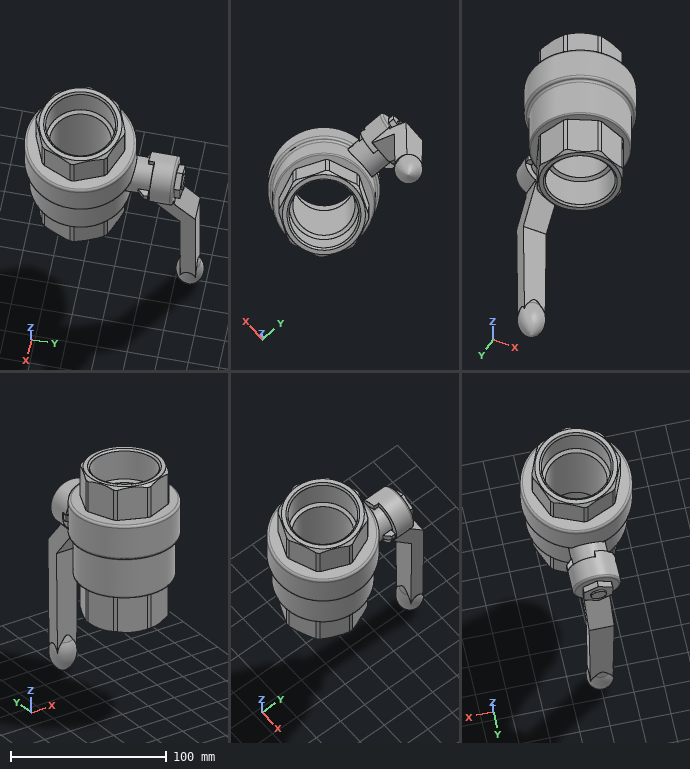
import cadquery as cq
import math


TOTAL_HEIGHT = 184.0

BODY_HEIGHT = 107.8
END_DIAMETER = 58.0
END_ACROSS_FLATS = 54.5
END_FACE_DIAMETER = 53.4
END_CHAMFER_HEIGHT = 1.8
FLANGE_DIAMETER = 72.5
FLANGE_BOTTOM = 58.7
FLANGE_TOP = 83.9
BARREL_DIAMETER = 66.0
BARREL_BOTTOM = 28.9
EDGE_RADIUS = 1.7
BARREL_EDGE_RADIUS = 1.0
SHOULDER_FILLET = 1.5

BORE_DIAMETER = 40.0
THREAD_DIAMETER = 44.9
THREAD_DEPTH = 21.9
SEAT_CONE_HEIGHT = 1.3
BORE_CHAMFER = 1.3

STEM_Z = 53.7
STEM_DIAMETER = 24.0
COLLAR_DIAMETER = 32.0
COLLAR_INNER_Y = 48.0
COLLAR_OUTER_Y = 63.0
COLLAR_EDGE_RADIUS = 1.5
SKIRT_DEPTH = 3.9
LUG_WIDTH = 4.6
LUG_OUTER_Y = 47.1
NUT_DIAMETER = 21.7
NUT_THICKNESS = 4.0
STUD_DIAMETER = 10.3
STUD_PROTRUSION = 1.1

LEVER_Y = 71.8
LEVER_THICKNESS = 10.1
LEVER_TOP_WIDTH = 17.3
LEVER_END_WIDTH = 14.9
LEVER_BEND_START = 37.5
OUTER_BEND_Z = 21.2
INNER_BEND_Z = 14.9

KNOB_RADIUS = 9.2
KNOB_TIP_DEPTH = 14.7
KNOB_Z = BODY_HEIGHT - TOTAL_HEIGHT + KNOB_TIP_DEPTH
KNOB_CONE_START = 9.4
KNOB_CONE_RADIUS = 6.6
KNOB_CONE_HEIGHT = 5.2
KNOB_CONE_TOP_RADIUS = 4.8


def cylinder_z(diameter, bottom, top):
    return cq.Workplane("XY").workplane(offset=bottom).circle(diameter / 2).extrude(top - bottom)


def along_stem(start_y):
    """Workplane on the stem axis whose normal points to +Y."""
    return cq.Workplane(cq.Plane(origin=(0, start_y, STEM_Z), xDir=(1, 0, 0), normal=(0, 1, 0)))


def octagonal_ends():
    corner_diameter = END_ACROSS_FLATS / math.cos(math.pi / 8)
    octagon = cq.Workplane("XY").polygon(8, corner_diameter).extrude(BODY_HEIGHT)
    face_inset = (END_DIAMETER - END_FACE_DIAMETER) / 2
    envelope = (
        cylinder_z(END_DIAMETER, 0, BODY_HEIGHT)
        .faces("<Z").chamfer(END_CHAMFER_HEIGHT, face_inset)
        .faces(">Z").chamfer(END_CHAMFER_HEIGHT, face_inset)
    )
    return octagon.intersect(envelope)


def body():
    flange = cylinder_z(FLANGE_DIAMETER, FLANGE_BOTTOM, FLANGE_TOP).edges().fillet(EDGE_RADIUS)
    barrel = (
        cylinder_z(BARREL_DIAMETER, BARREL_BOTTOM, FLANGE_BOTTOM)
        .faces("<Z").edges().fillet(BARREL_EDGE_RADIUS)
    )
    corner_radius = BARREL_DIAMETER / 2
    shoulder = (
        cq.Workplane("XZ")
        .moveTo(0, FLANGE_BOTTOM)
        .lineTo(corner_radius + SHOULDER_FILLET, FLANGE_BOTTOM)
        .radiusArc((corner_radius, FLANGE_BOTTOM - SHOULDER_FILLET), -SHOULDER_FILLET)
        .lineTo(0, FLANGE_BOTTOM - SHOULDER_FILLET)
        .close()
        .revolve(360, (0, 0), (0, 1))
    )
    return octagonal_ends().union(flange).union(barrel).union(shoulder)


def bore():
    """Revolved profile of the through bore with a chamfered thread bore at both ends."""
    seat = BORE_DIAMETER / 2
    thread = THREAD_DIAMETER / 2
    mouth = thread + BORE_CHAMFER
    seat_depth = THREAD_DEPTH + SEAT_CONE_HEIGHT
    profile = [
        (0, 0),
        (mouth, 0),
        (thread, BORE_CHAMFER),
        (thread, THREAD_DEPTH),
        (seat, seat_depth),
        (seat, BODY_HEIGHT - seat_depth),
        (thread, BODY_HEIGHT - THREAD_DEPTH),
        (thread, BODY_HEIGHT - BORE_CHAMFER),
        (mouth, BODY_HEIGHT),
        (0, BODY_HEIGHT),
    ]
    return cq.Workplane("XZ").polyline(profile).close().revolve(360, (0, 0), (0, 1))


def stem():
    return along_stem(0).circle(STEM_DIAMETER / 2).extrude(COLLAR_INNER_Y)


def stop_lugs():
    """Two lugs on opposite sides of the stem, each tapering at 45 degrees into the stem."""
    tip = COLLAR_DIAMETER / 2
    root = STEM_DIAMETER / 2
    taper_y = COLLAR_INNER_Y - SKIRT_DEPTH
    outline = [
        (-tip, LUG_OUTER_Y),
        (tip, LUG_OUTER_Y),
        (tip, taper_y),
        (root, taper_y - (tip - root)),
        (-root, taper_y - (tip - root)),
        (-tip, taper_y),
    ]
    start_z = STEM_Z - LUG_WIDTH / 2
    return cq.Workplane("XY").workplane(offset=start_z).polyline(outline).close().extrude(LUG_WIDTH)


def collar():
    radius = COLLAR_DIAMETER / 2
    cap = (
        along_stem(COLLAR_INNER_Y).circle(radius).extrude(COLLAR_OUTER_Y - COLLAR_INNER_Y)
        .faces(">Y").edges().fillet(COLLAR_EDGE_RADIUS)
    )
    skirt = along_stem(COLLAR_INNER_Y - SKIRT_DEPTH).circle(radius).extrude(SKIRT_DEPTH)
    gap = LUG_WIDTH / 2
    middle_y = COLLAR_INNER_Y - SKIRT_DEPTH / 2
    for side in (-1, 1):
        center = (side * (gap + radius / 2), middle_y, STEM_Z - side * (gap + radius / 2))
        quadrant = cq.Workplane("XY").box(radius, SKIRT_DEPTH, radius).translate(center)
        cap = cap.union(skirt.intersect(quadrant))
    return cap


def nut_and_stud():
    nut = along_stem(COLLAR_OUTER_Y).polygon(6, NUT_DIAMETER).extrude(NUT_THICKNESS)
    nut = nut.rotate((0, 0, STEM_Z), (0, 1, STEM_Z), 90)
    stud = along_stem(COLLAR_OUTER_Y).circle(STUD_DIAMETER / 2).extrude(NUT_THICKNESS + STUD_PROTRUSION)
    return nut.union(stud)


def lever():
    """Cranked side outline intersected with the tapering front outline."""
    outer_y = LEVER_Y + LEVER_THICKNESS / 2
    inner_y = LEVER_Y - LEVER_THICKNESS / 2
    side_outline = [
        (COLLAR_INNER_Y, STEM_Z),
        (COLLAR_OUTER_Y, STEM_Z),
        (COLLAR_OUTER_Y, LEVER_BEND_START),
        (outer_y, OUTER_BEND_Z),
        (outer_y, KNOB_Z),
        (inner_y, KNOB_Z),
        (inner_y, INNER_BEND_Z),
        (COLLAR_INNER_Y, LEVER_BEND_START),
    ]
    side = cq.Workplane("YZ").polyline(side_outline).close().extrude(LEVER_TOP_WIDTH / 2, both=True)
    top = LEVER_TOP_WIDTH / 2
    end = LEVER_END_WIDTH / 2
    front_outline = [
        (-top, STEM_Z),
        (top, STEM_Z),
        (end, KNOB_Z),
        (-end, KNOB_Z),
    ]
    front = cq.Workplane("XZ").polyline(front_outline).close().extrude(-outer_y)
    return side.intersect(front)


def knob():
    """Revolved bulb: one smooth curve from the tip over the widest level to the cone."""
    cone_top = KNOB_CONE_START + KNOB_CONE_HEIGHT
    outline = [(0, -KNOB_TIP_DEPTH), (KNOB_RADIUS, 0), (KNOB_CONE_RADIUS, KNOB_CONE_START)]
    tip_direction = (2, 1)
    widest_direction = (0, 1)
    cone_direction = (-0.6, 1)
    profile = (
        cq.Workplane("XZ")
        .spline(outline, tangents=[tip_direction, widest_direction, cone_direction])
        .lineTo(KNOB_CONE_TOP_RADIUS, cone_top)
        .lineTo(0, cone_top)
        .close()
    )
    return profile.revolve(360, (0, 0), (0, 1)).translate((0, LEVER_Y, KNOB_Z))


result = body()
for piece in (stem(), stop_lugs(), collar(), nut_and_stud(), lever(), knob()):
    result = result.union(piece)
result = result.cut(bore())